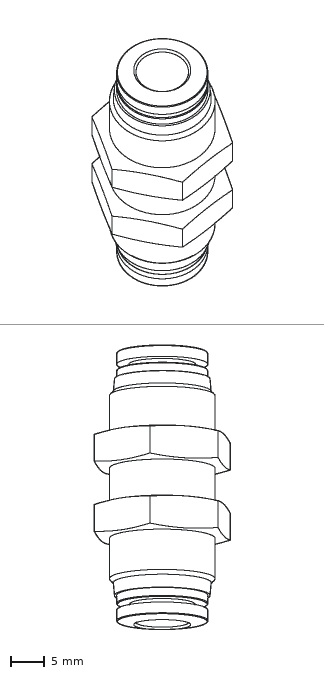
import cadquery as cq
import math

length = 42.2
half_length = length / 2

body_diameter = 16.0
body_end = 14.05
shoulder_base_diameter = 14.8
shoulder_end_diameter = 14.47
shoulder_base = 14.7
shoulder_end = 16.63
collar_diameter = 13.8
collar_end = 17.98
collar_edge_chamfer = 0.13
neck_diameter = 9.9
neck_flare_diameter = 10.13
neck_flare_height = 0.4

button_diameter = collar_diameter
button_thickness = 1.77
button_height = 2.25
button_edge_chamfer = 0.13
button_base = half_length - button_height
button_rim = button_base + button_thickness

through_diameter = 5.0
socket_diameter = 7.95
socket_depth = 16.9
mouth_diameter = 8.6
mouth_chamfer = (mouth_diameter - socket_diameter) / 2

nut_flats = 19.0
nut_corners = nut_flats / math.cos(math.radians(30))
nut_thickness = 5.0
nut_gap = 5.8
nut_offset = (nut_gap + nut_thickness) / 2
nut_face_diameter = 18.75
nut_chamfer_angle = 15.0


def make_fitting():
    """Turned double-ended fitting, with both ends alike, revolved about Z."""
    body_r = body_diameter / 2
    collar_r = collar_diameter / 2
    neck_r = neck_diameter / 2
    button_r = button_diameter / 2
    socket_r = socket_diameter / 2
    through_r = through_diameter / 2
    socket_floor = half_length - socket_depth
    upper_points = [
        (body_r, body_end),
        (shoulder_base_diameter / 2, shoulder_base),
        (shoulder_end_diameter / 2, shoulder_end),
        (collar_r, shoulder_end),
        (collar_r, collar_end - collar_edge_chamfer),
        (collar_r - collar_edge_chamfer, collar_end),
        (neck_r, collar_end),
        (neck_r, button_base - neck_flare_height),
        (neck_flare_diameter / 2, button_base),
        (button_r, button_base),
        (button_r, button_rim - button_edge_chamfer),
        (button_r - button_edge_chamfer, button_rim),
        (mouth_diameter / 2, half_length),
        (socket_r, half_length - mouth_chamfer),
        (socket_r, socket_floor),
        (through_r, socket_floor),
    ]
    lower_points = [(radius, -height) for radius, height in reversed(upper_points)]
    return (
        cq.Workplane("XZ")
        .polyline(upper_points + lower_points)
        .close()
        .revolve(360, (0, 0), (0, 1))
    )


def make_nut(center_z):
    """Hexagon nut with flats facing +X and -X and both faces chamfered."""
    half_thickness = nut_thickness / 2
    face_r = nut_face_diameter / 2
    corner_r = nut_corners / 2
    chamfer_drop = (corner_r - face_r) * math.tan(math.radians(nut_chamfer_angle))
    hexagon = (
        cq.Workplane("XY")
        .polygon(6, nut_corners)
        .extrude(half_thickness, both=True)
        .rotate((0, 0, 0), (0, 0, 1), 90)
    )
    chamfer_envelope = (
        cq.Workplane("XZ")
        .polyline([
            (body_diameter / 2, -half_thickness),
            (face_r, -half_thickness),
            (corner_r, chamfer_drop - half_thickness),
            (corner_r, half_thickness - chamfer_drop),
            (face_r, half_thickness),
            (body_diameter / 2, half_thickness),
        ])
        .close()
        .revolve(360, (0, 0), (0, 1))
    )
    return hexagon.intersect(chamfer_envelope).translate((0, 0, center_z))


fitting = make_fitting()
nuts = [make_nut(side * nut_offset) for side in (1, -1)]

result = cq.Compound.makeCompound([fitting.val(), *[nut.val() for nut in nuts]])